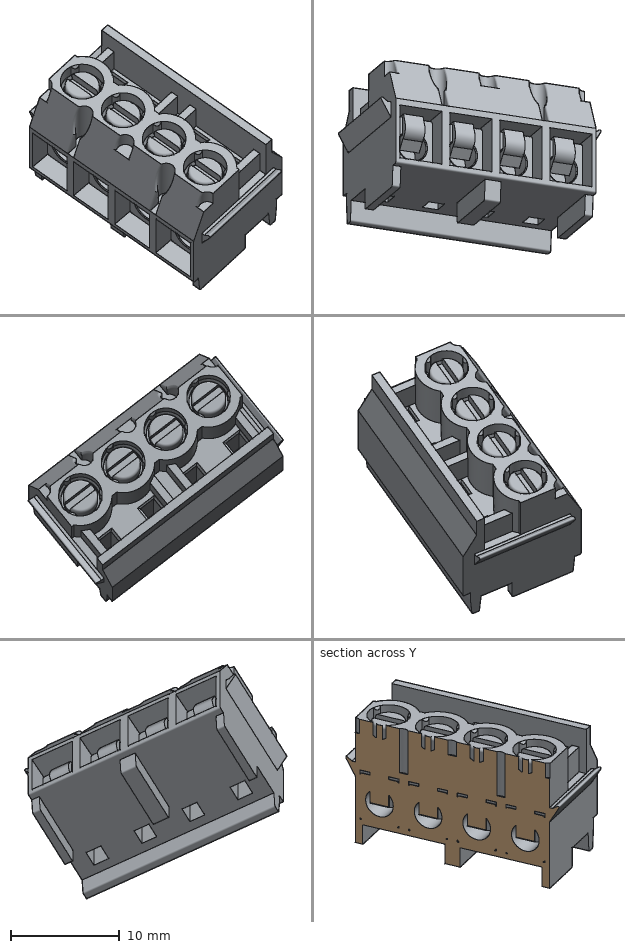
import cadquery as cq
import math


poles = 4
length = 22.0
body_width = 20.0
depth = 12.4
height = 13.0
pitch = body_width / poles
pole_xs = [(i - (poles - 1) / 2) * pitch for i in range(poles)]

base_z = 2.02
front_top_z = 8.4
slope_top_y = 2.13
tower_back_y = 6.38
floor_z = front_top_z
bar_front_y = 10.14
bar_back_y = 10.97
bar_slope_top_z = 11.02
bar_slope_bottom_z = 8.75
rear_step_z = 3.1
rear_foot_back_y = 11.63
rear_foot_front_y = 10.51
foot_draft = 0.18
block_front_y = 0.68
block_back_y = 7.25
block_width = 1.58
foot_fillet = 0.18
rear_step_fillet = 0.1

screw_y = 4.5
tower_radius = 2.9
bore_top_radius = 2.0
bore_bottom_radius = 1.8
bore_bottom_z = 10.78
bore_cone_bottom_z = 11.21
bore_cone_height = 0.45
head_radius = 1.58
head_top_z = 12.55
head_fillet = 0.26
slot_width = 0.77
slot_depth = 0.88
key_radius = 0.48
key_inner_radius = 1.75
key_angles = (30, 150, 270)

rib_offset = 0.75
rib_thickness = 0.75
rib_top_z = 11.0

pin_y = 8.85
pin_size = 1.55
pin_mouth_x = 1.98
pin_mouth_y = 1.87
pin_mouth_depth = 0.22

scoop_radius = 0.81
scoop_y = 1.91
scoop_floor_z = 11.48
groove_width = 0.62
scoop_edge = 0.18
level_edge_limit = 0.22

entry_width = 4.2
entry_bottom_z = 2.6
entry_top_z = 7.78
entry_draft = 0.1
entry_depth = 2.64
plate_y = 1.98
plate_top_z = 7.43
plate_corner = 0.22
wire_diameter = 2.8
wire_mouth_diameter = 3.0
wire_z = 4.73
wire_depth = 2.64
tongue_width = 1.95
tongue_bottom_z = 4.45
tongue_back_y = 2.68
tongue_roll_radius = 1.1
tongue_roll_y = 2.42
tongue_roll_z = 6.27
tongue_roll_top_angle = 159
tongue_roll_bottom_angle = 244
tongue_bend_y = 1.65
tongue_bend_z = 7.35
tongue_root_y = 1.83

latch_front_y = 1.17
latch_length = 10.03
latch_bottom_z = 6.93
latch_lip_z = 8.45
latch_top_z = 8.8
latch_lip_x = 10.31
latch_tip_radius = 0.13
latch_tip_angles = (-30, 45, 125)


def box(x0, x1, y0, y1, z0, z1):
    """Box between two opposite corners."""
    return cq.Workplane("XY").box(x1 - x0, y1 - y0, z1 - z0, centered=False).translate((x0, y0, z0))


def side_profile(points, width):
    """Extrude a (Y, Z) outline along X, centred on X = 0."""
    return cq.Workplane("YZ").polyline(points).close().extrude(width / 2, both=True)


def upright_cylinder(x, y, radius, z0, z1):
    return cq.Workplane("XY", origin=(x, y, z0)).circle(radius).extrude(z1 - z0)


def point_on_circle(centre, radius, angle):
    """Point on a circle at an angle in degrees from the first axis."""
    turn = math.radians(angle)
    return (centre[0] + radius * math.cos(turn), centre[1] + radius * math.sin(turn))


def make_shell():
    """Housing from the base upward, with the sloped front and the rear bar."""
    shell = side_profile(
        [
            (0, base_z),
            (0, front_top_z),
            (slope_top_y, height),
            (tower_back_y, height),
            (tower_back_y, floor_z),
            (bar_front_y, floor_z),
            (bar_front_y, height),
            (bar_back_y, height),
            (bar_back_y, bar_slope_top_z),
            (depth, bar_slope_bottom_z),
            (depth, rear_step_z),
            (rear_foot_back_y, rear_step_z),
            (rear_foot_back_y, base_z),
        ],
        body_width,
    )
    shell = shell.edges("|X and <Z").edges("<Y").fillet(foot_fillet)
    step_corner = cq.selectors.NearestToPointSelector((0, depth, rear_step_z))
    return shell.edges("|X").edges(step_corner).fillet(rear_step_fillet)


def cut_scoops(shell):
    """Round scoops between the poles; every second one runs down into a narrow groove."""
    for i in range(poles + 1):
        x = (i - poles / 2) * pitch
        has_groove = i % 2 == 1
        floor = front_top_z if has_groove else scoop_floor_z
        shell = shell.cut(upright_cylinder(x, scoop_y, scoop_radius, floor, height))
        if has_groove:
            half = groove_width / 2
            shell = shell.cut(box(x - half, x + half, 0, scoop_y, floor, height))
    return shell


def round_scoop_edges(shell):
    """Round the non-level rims where the scoop walls break out through the front slope."""
    slope_angle = math.atan2(slope_top_y, height - front_top_z)
    normal = cq.Vector(0, -math.cos(slope_angle), math.sin(slope_angle))
    slope = shell.faces(cq.selectors.ParallelDirSelector(normal))
    rims = [
        edge
        for edge in slope.edges().vals()
        if edge.BoundingBox().zlen > level_edge_limit and abs(edge.Center().x) < body_width / 2 - scoop_edge
    ]
    return shell.newObject(rims).fillet(scoop_edge)


def make_feet():
    """Full-width rear foot and three blocks under the front."""
    rear = side_profile(
        [
            (rear_foot_front_y, base_z),
            (rear_foot_front_y + foot_draft, 0),
            (rear_foot_back_y - foot_draft, 0),
            (rear_foot_back_y, base_z),
        ],
        body_width,
    )
    feet = rear.edges("<Z and |X").fillet(foot_fillet)
    block = side_profile(
        [
            (block_front_y, base_z),
            (block_front_y + foot_draft, 0),
            (block_back_y, 0),
            (block_back_y, base_z),
        ],
        block_width,
    )
    block = block.edges("<Z and |X").fillet(foot_fillet)
    inside = box(-body_width / 2, body_width / 2, 0, depth, 0, base_z)
    for x in (-body_width / 2, 0, body_width / 2):
        feet = feet.union(block.translate((x, 0, 0)).intersect(inside))
    return feet


def make_ribs():
    """Ribs joining the towers to the rear bar, in a pair at mid-width and one near each end."""
    ribs = cq.Workplane("XY")
    centre_x = rib_offset + rib_thickness / 2
    end_x = body_width / 2 - centre_x
    for x in (-end_x, -centre_x, centre_x, end_x):
        half = rib_thickness / 2
        ribs = ribs.union(box(x - half, x + half, screw_y, bar_front_y, floor_z, rib_top_z))
    return ribs


def make_bore(x):
    """Screw bore that narrows near its floor, with three upright keys on its wall."""
    bore = upright_cylinder(x, screw_y, bore_bottom_radius, bore_bottom_z, bore_cone_bottom_z)
    cone = (
        cq.Workplane("XY", origin=(x, screw_y, bore_cone_bottom_z))
        .circle(bore_bottom_radius)
        .workplane(offset=bore_cone_height)
        .circle(bore_top_radius)
        .loft()
    )
    mouth_bottom_z = bore_cone_bottom_z + bore_cone_height
    bore = bore.union(cone).union(upright_cylinder(x, screw_y, bore_top_radius, mouth_bottom_z, height))
    key_distance = key_inner_radius + key_radius
    key_slope = bore_top_radius - key_inner_radius
    above_keys = (
        cq.Workplane("XY", origin=(x, screw_y, height - key_slope))
        .circle(key_inner_radius)
        .workplane(offset=key_slope)
        .circle(bore_top_radius)
        .loft()
    )
    for angle in key_angles:
        key_x, key_y = point_on_circle((x, screw_y), key_distance, angle)
        bore = bore.cut(upright_cylinder(key_x, key_y, key_radius, bore_bottom_z, height))
    return bore.union(above_keys)


def make_screw(x):
    """Slotted screw head standing in its bore."""
    head = upright_cylinder(x, screw_y, head_radius, bore_bottom_z, head_top_z)
    head = head.faces(">Z").edges().fillet(head_fillet)
    slot = cq.Workplane("XY", origin=(x, screw_y, head_top_z)).rect(2 * head_radius, slot_width)
    return head.cut(slot.extrude(-slot_depth))


def make_pin_hole(x):
    """Square through hole with a flared mouth."""
    hole = cq.Workplane("XY", origin=(x, pin_y, 0)).rect(pin_size, pin_size).extrude(floor_z)
    mouth = (
        cq.Workplane("XY", origin=(x, pin_y, floor_z - pin_mouth_depth))
        .rect(pin_size, pin_size)
        .workplane(offset=pin_mouth_depth)
        .rect(pin_mouth_x, pin_mouth_y)
        .loft()
    )
    return hole.union(mouth)


def make_tongue(x):
    """Sprung tongue hanging from the entry ceiling, with a rolled front and a sloped underside."""
    roll_centre = (tongue_roll_y, tongue_roll_z)
    roll_middle_angle = (tongue_roll_top_angle + tongue_roll_bottom_angle) / 2
    return (
        cq.Workplane("YZ", origin=(x, 0, 0))
        .moveTo(tongue_back_y, entry_top_z)
        .lineTo(tongue_root_y, entry_top_z)
        .lineTo(tongue_bend_y, tongue_bend_z)
        .lineTo(*point_on_circle(roll_centre, tongue_roll_radius, tongue_roll_top_angle))
        .threePointArc(
            point_on_circle(roll_centre, tongue_roll_radius, roll_middle_angle),
            point_on_circle(roll_centre, tongue_roll_radius, tongue_roll_bottom_angle),
        )
        .lineTo(tongue_back_y, tongue_bottom_z)
        .close()
        .extrude(tongue_width / 2, both=True)
    )


def make_entry(x):
    """Drafted wire entry: the space left around the clamp plate, its wire hole and the tongue."""
    entry_height = entry_top_z - entry_bottom_z
    entry = (
        cq.Workplane("XZ", origin=(x, 0, entry_bottom_z + entry_height / 2))
        .rect(entry_width, entry_height)
        .workplane(offset=-entry_depth)
        .center(0, -entry_draft / 2)
        .rect(entry_width - 2 * entry_draft, entry_height - entry_draft)
        .loft()
    )
    half = entry_width / 2 - entry_draft
    plate = box(x - half, x + half, plate_y, entry_depth, entry_bottom_z, plate_top_z)
    plate = plate.edges("|Y").fillet(plate_corner)
    wire_radius = wire_diameter / 2
    mouth = (wire_mouth_diameter - wire_diameter) / 2
    wire = cq.Workplane("XZ", origin=(x, plate_y, wire_z)).circle(wire_radius).extrude(-wire_depth)
    flare = (
        cq.Workplane("XZ", origin=(x, plate_y, wire_z))
        .circle(wire_radius + mouth)
        .workplane(offset=-mouth)
        .circle(wire_radius)
        .loft()
    )
    return entry.cut(plate).union(wire).union(flare).cut(make_tongue(x))


def make_latch():
    """Barbed rail on the +X end wall."""
    wall_x = body_width / 2
    tip_centre = (length / 2 - latch_tip_radius, latch_top_z - latch_tip_radius)
    tip_start, tip_middle, tip_end = [
        point_on_circle(tip_centre, latch_tip_radius, angle) for angle in latch_tip_angles
    ]
    return (
        cq.Workplane("XZ", origin=(0, latch_front_y, 0))
        .moveTo(wall_x, latch_bottom_z)
        .lineTo(*tip_start)
        .threePointArc(tip_middle, tip_end)
        .lineTo(latch_lip_x, latch_lip_z)
        .lineTo(wall_x, latch_lip_z)
        .close()
        .extrude(-latch_length)
    )


body = round_scoop_edges(cut_scoops(make_shell()))
body = body.union(make_feet()).union(make_ribs())
behind = box(-body_width / 2, body_width / 2, screw_y, depth, floor_z, height)
for pole_x in pole_xs:
    tower = upright_cylinder(pole_x, screw_y, tower_radius, floor_z, height)
    body = body.union(tower.intersect(behind))
for pole_x in pole_xs:
    body = body.cut(make_bore(pole_x)).union(make_screw(pole_x))
    body = body.cut(make_pin_hole(pole_x)).cut(make_entry(pole_x))
latch = make_latch()
result = body.union(latch).union(latch.mirror("YZ"))